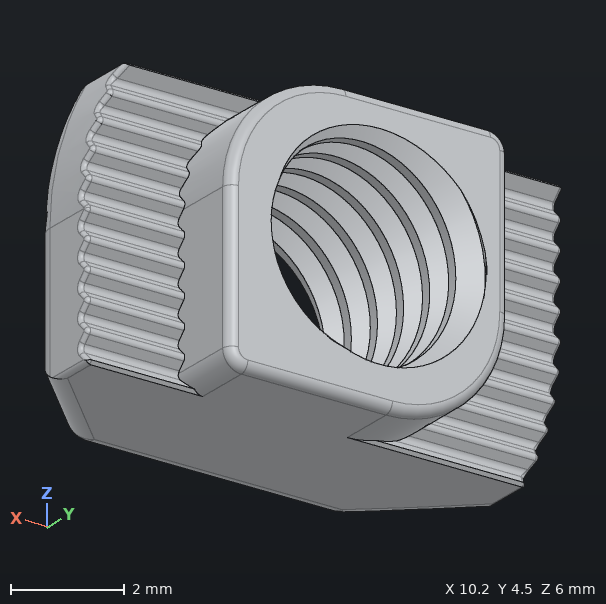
import cadquery as cq
import math

half_length = 5.1
half_height = 3.0
flange_depth = 3.18
total_depth = 4.5
front_half_length = 3.3
flank_depth = half_length - front_half_length
swing_radius = 6.0
swing_axis_x = half_length - swing_radius
front_round = 0.5
end_round = 0.1

boss_half_width = 3.0
boss_swing_radius = 2.5
boss_corner_radius = 0.4
boss_rim_round = 0.2

tooth_pitch = 0.587
tooth_depth = tooth_pitch / 2
tooth_root_radius = 0.12
tooth_tip_radius = 0.1
tooth_edge_round = 0.08
grooves_per_side = math.ceil(half_height / tooth_pitch)

minor_radius = 2.1
major_radius = 2.55
thread_pitch = 0.8
crest_width = 0.22
flank_width = (major_radius - minor_radius) * math.tan(math.radians(30))
root_width = thread_pitch - crest_width - 2 * flank_width
thread_phase_y = 0.042
thread_overlap = 0.1
thread_run_out = 1.8
sleeve_radius = 2.7
countersink_radius = 2.6
countersink_depth = 0.1

margin = 1.0
tolerance = 1e-3


def flank_profile(side):
    """Half section of the flange in XY, from the swing axis plane to the end on the given side."""
    return (
        cq.Workplane("XY")
        .moveTo(swing_axis_x, 0)
        .lineTo(side * front_half_length, 0)
        .lineTo(side * half_length, flank_depth)
        .lineTo(side * half_length, flange_depth)
        .lineTo(swing_axis_x, flange_depth)
        .close()
    )


def sharp_flange():
    """Flange with sharp edges: the upper half and its copy turned half a turn about Y."""
    straight_end = flank_profile(-1).extrude(half_height)
    slab_size = 4 * half_length
    slab = cq.Workplane("XY").box(slab_size, slab_size, half_height, centered=(True, True, False))
    swung_end = flank_profile(1).revolve(90, (swing_axis_x, 0), (swing_axis_x, -1)).intersect(slab)
    upper_half = straight_end.union(swung_end)
    return upper_half.union(upper_half.rotate((0, 0, 0), (0, 1, 0), 180))


def is_front_edge(edge):
    """True for the front rim, the sloped edges and the edges where the flanks meet the ends."""
    box = edge.BoundingBox()
    in_middle_plane = abs(box.zmin) < tolerance and abs(box.zmax) < tolerance
    return box.ymax < flank_depth + tolerance and not in_middle_plane


def rounded_flange():
    flange = sharp_flange()
    front_edges = flange.edges().filter(is_front_edge)
    return flange.newObject([flange.val().fillet(front_round, front_edges.vals())])


def is_inner_tip(edge):
    """True for the full-length tooth tips, leaving the outermost tip on each side sharp."""
    box = edge.BoundingBox()
    lengthwise = box.xmax - box.xmin > half_length
    at_tip = abs(edge.Center().y - flange_depth) < tolerance
    return lengthwise and at_tip and abs(edge.Center().z) < (grooves_per_side - 1.5) * tooth_pitch


def tooth_cutter():
    """Zigzag bar along X that leaves the teeth, with rounded roots and tips."""
    last = 2 * grooves_per_side
    zigzag = [
        (flange_depth - tooth_depth * (index % 2), index * tooth_pitch / 2)
        for index in range(-last, last + 1)
    ]
    top_y = flange_depth + margin
    reach_z = grooves_per_side * tooth_pitch
    cutter = (
        cq.Workplane("YZ")
        .polyline([(top_y, -reach_z), *zigzag, (top_y, reach_z)])
        .close()
        .extrude(half_length + margin, both=True)
    )
    root_y = flange_depth - tooth_depth
    roots = cutter.edges("|X").filter(lambda edge: edge.Center().y < root_y + tolerance)
    cutter = cutter.newObject([cutter.val().fillet(tooth_root_radius, roots.vals())])
    tips = cutter.edges("|X").filter(is_inner_tip)
    return cutter.newObject([cutter.val().fillet(tooth_tip_radius, tips.vals())])


def is_tooth_end_edge(edge):
    """True for the zigzag edges where the teeth run out at the ends of the flange."""
    box = edge.BoundingBox()
    across_teeth = box.zmax - box.zmin > tolerance
    at_end = min(abs(box.xmin), abs(box.xmax)) > boss_half_width
    return box.ymin > flange_depth - tooth_depth and across_teeth and at_end


def toothed_flange():
    flange = rounded_flange().cut(tooth_cutter())
    end_edges = flange.edges().filter(is_tooth_end_edge)
    return flange.newObject([flange.val().fillet(tooth_edge_round, end_edges.vals())])


def swung_x(z):
    """X of the swung end at height z."""
    return swing_axis_x + math.sqrt(swing_radius**2 - z**2)


def end_trim():
    """Prism on the flange outline in XZ, rounding the four edges at the ends along Y."""
    corner_x = swung_x(half_height)
    mid_x = swung_x(half_height / 2)
    prism = (
        cq.Workplane("XZ")
        .moveTo(-half_length, half_height)
        .lineTo(corner_x, half_height)
        .threePointArc((mid_x, half_height / 2), (half_length, 0))
        .lineTo(half_length, -half_height)
        .lineTo(-corner_x, -half_height)
        .threePointArc((-mid_x, -half_height / 2), (-half_length, 0))
        .close()
        .extrude(-total_depth)
    )
    corners = prism.edges("|Y").filter(lambda edge: abs(edge.Center().z) > half_height / 2)
    return prism.newObject([prism.val().fillet(end_round, corners.vals())])


def is_square_corner(edge):
    """True for the boss corners that are not swung."""
    center = edge.Center()
    return center.x * center.z < -boss_half_width * half_height + tolerance


def boss():
    base_y = flange_depth - 2 * tooth_depth
    block = (
        cq.Workplane("XZ", origin=(0, base_y, 0))
        .rect(2 * boss_half_width, 2 * half_height)
        .extrude(base_y - total_depth)
    )
    swung = block.edges("|Y").filter(lambda edge: edge.Center().x * edge.Center().z > 0)
    block = block.newObject([block.val().fillet(boss_swing_radius, swung.vals())])
    corners = block.edges("|Y").filter(is_square_corner)
    block = block.newObject([block.val().fillet(boss_corner_radius, corners.vals())])
    return block.faces(">Y").edges().fillet(boss_rim_round)


def cylinder(radius, run_out=0):
    """Cylinder along Y through the part, longer by run_out at each end."""
    return cq.Workplane("XZ", origin=(0, -run_out, 0)).circle(radius).extrude(-total_depth - 2 * run_out)


def thread_groove():
    """Helical groove along Y that starts and ends outside the part."""
    groove_height = major_radius - minor_radius
    half_root = root_width / 2
    half_mouth = half_root + flank_width * (groove_height + thread_overlap) / groove_height
    mouth_radius = minor_radius - thread_overlap
    profile = (
        cq.Workplane("XZ")
        .moveTo(mouth_radius, -half_mouth)
        .lineTo(major_radius, -half_root)
        .lineTo(major_radius, half_root)
        .lineTo(mouth_radius, half_mouth)
        .close()
    )
    helix = cq.Workplane(obj=cq.Wire.makeHelix(thread_pitch, total_depth + 2 * thread_pitch, minor_radius))
    coil = profile.sweep(helix, isFrenet=True).rotate((0, 0, 0), (1, 0, 0), -90)
    return coil.translate((0, thread_phase_y - thread_pitch, 0))


def threaded_sleeve():
    """Tube with the internal thread, longer than the part so that the groove ends inside it."""
    tube = cylinder(sleeve_radius, thread_run_out).cut(cylinder(minor_radius, thread_run_out))
    return tube.cut(thread_groove())


def countersink():
    section = cq.Workplane("XY").polyline(
        [(0, 0), (countersink_radius, 0), (minor_radius, countersink_depth), (0, countersink_depth)]
    )
    return section.close().revolve(360, (0, 0), (0, 1))


blank = toothed_flange().intersect(end_trim()).union(boss())
core = blank.intersect(cylinder(sleeve_radius)).intersect(threaded_sleeve()).cut(countersink())
result = blank.cut(cylinder(sleeve_radius)).union(core, glue=True)